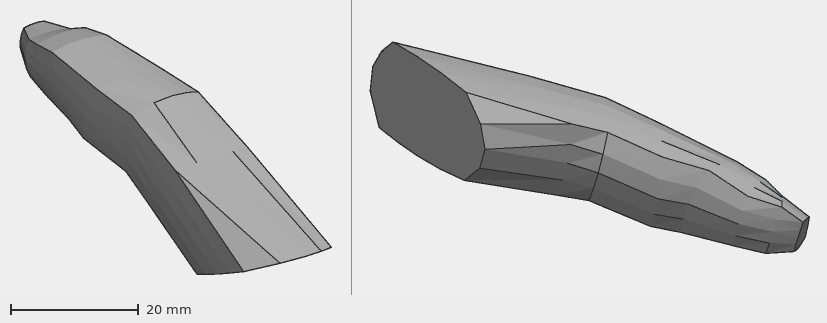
import cadquery as cq


CROWN_FACETS = 4
FAR_FACETS = 3
BELLY_FACETS = 4
NEAR_FACETS = 4

USUAL_CROWN_LEAN = 0.4


def bowed_side(start, end, middle, bow, facets, lean=0):
    """Points of a parabolic arc from start up to, but not including, end, bowed away from middle."""
    outward = ((start + end) / 2 - middle).normalized()
    points = []
    for step in range(facets):
        share = step / facets
        along = share + lean * share * (1 - share)
        rise = 4 * bow * along * (1 - along)
        points.append(start + (end - start) * along + outward * rise)
    return points


def section(
    top_near, top_far, bottom_far, bottom_near,
    crown, far, belly, near,
    crown_lean=USUAL_CROWN_LEAN, near_lean=0,
):
    """Closed ring of points through four corners, with the bow of each side and two leans."""
    corners = [cq.Vector(*corner) for corner in (top_near, top_far, bottom_far, bottom_near)]
    a, b, c, d = corners
    middle = (a + b + c + d) / len(corners)
    return (
        bowed_side(a, b, middle, crown, CROWN_FACETS, crown_lean)
        + bowed_side(b, c, middle, far, FAR_FACETS)
        + bowed_side(c, d, middle, belly, BELLY_FACETS)
        + bowed_side(d, a, middle, near, NEAR_FACETS, near_lean)
    )


def triangle(a, b, c):
    return cq.Face.makeFromWires(cq.Wire.makePolygon([a, b, c], close=True))


def skin(ring, next_ring):
    """Two triangles for every pair of neighbouring points on two rings.

    The four-sided gaps are split along one diagonal on the near flank and along the other elsewhere.
    """
    near_start = len(ring) - NEAR_FACETS
    faces = []
    for i in range(len(ring)):
        j = (i + 1) % len(ring)
        if i < near_start:
            faces.append(triangle(ring[i], ring[j], next_ring[j]))
            faces.append(triangle(ring[i], next_ring[j], next_ring[i]))
        else:
            faces.append(triangle(ring[i], ring[j], next_ring[i]))
            faces.append(triangle(ring[j], next_ring[j], next_ring[i]))
    return faces


def end_cap(ring):
    """Zigzag strip of triangles from the crown down to the belly."""
    crown_top = CROWN_FACETS // 2
    order = ring[crown_top:] + ring[:crown_top]
    zigzag = []
    for i in range(len(order)):
        zigzag.append(order[-((i + 1) // 2)] if i % 2 else order[i // 2])
    return [triangle(*zigzag[i : i + 3]) for i in range(len(zigzag) - 2)]


tip = section(
    top_near=(0, 31.8, 7.2),
    top_far=(1.8, 34.9, 6.85),
    bottom_far=(3.0, 34.85, 2.6),
    bottom_near=(0.8, 30.0, 3.15),
    crown=0.2, far=0.15, belly=0.2, near=0.55,
)
nail_edge = section(
    top_near=(3.35, 28.0, 10.2),
    top_far=(7.05, 34.3, 8.9),
    bottom_far=(7.2, 34.7, 2.5),
    bottom_near=(4.1, 27.05, 2.75),
    crown=0.5, far=0.35, belly=0.75, near=0.8,
)
nail_middle = section(
    top_near=(6.0, 26.15, 12.5),
    top_far=(9.9, 34.05, 11.2),
    bottom_far=(12.3, 32.5, 3.1),
    bottom_near=(8.4, 24.65, 3.5),
    crown=0.5, far=0.6, belly=1.5, near=0.75,
)
nail_root = section(
    top_near=(10.15, 24, 15.35),
    top_far=(14.7, 32.7, 13.7),
    bottom_far=(19.2, 31.2, 5.5),
    bottom_near=(15.55, 20.2, 6.4),
    crown=0.55, far=0.6, belly=2.05, near=0.6,
)
finger_pad = section(
    top_near=(22.0, 18.3, 19.45),
    top_far=(27.6, 28.75, 17.3),
    bottom_far=(26, 28.1, 6.15),
    bottom_near=(19.8, 17.75, 6.85),
    crown=0.8, far=0.9, belly=2.25, near=0.8,
    near_lean=-0.2,
)
knuckle = section(
    top_near=(30.05, 15.55, 20.9),
    top_far=(35.8, 25.95, 19.85),
    bottom_far=(34.9, 25.35, 7.5),
    bottom_near=(29.65, 14.45, 8.2),
    crown=1.4, far=0.7, belly=2.25, near=0.6,
    near_lean=0.3,
)
lower_finger = section(
    top_near=(41.4, 10.1, 20.3),
    top_far=(47.65, 21.65, 18.1),
    bottom_far=(40.75, 23.6, 4.9),
    bottom_near=(34.6, 12.4, 6.5),
    crown=0.8, far=0.55, belly=1.15, near=0.75,
    crown_lean=0.15,
)
root = section(
    top_near=(60.4, 0, 17.5),
    top_far=(68.5, 13, 15.5),
    bottom_far=(57.25, 17.45, 3.5),
    bottom_near=(48.0, 6.0, 3.2),
    crown=3.55, far=0.4, belly=4.6, near=0.75,
    near_lean=0.2,
)

rings = [tip, nail_edge, nail_middle, nail_root, finger_pad, knuckle, lower_finger, root]
faces = end_cap(tip) + end_cap(root)
for ring, next_ring in zip(rings, rings[1:]):
    faces += skin(ring, next_ring)

result = cq.Workplane(cq.Solid.makeSolid(cq.Shell.makeShell(faces)))